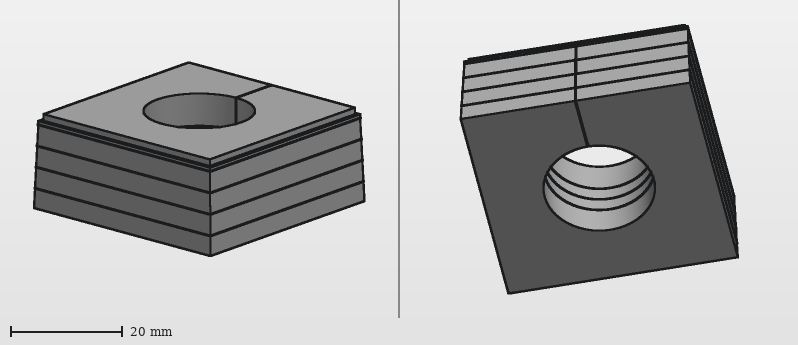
import cadquery as cq
import math

base_width = 42.0
height = 17.7
draft_angle = 2.0
draft_slope = math.tan(math.radians(draft_angle))

plate_bottom = 15.7
plate_top = 16.42
plate_width = base_width - 2 * plate_bottom * draft_slope
pad_width = 39.55

bead_radius = 0.065
outer_bead_count = 4
outer_bead_pitch = 4.0

bore_radius = 10.0
bore_bead_count = 3
bore_bead_pitch = 2.95
highest_bore_bead = 11.55

slit_width = 0.2


def square_block(width, bottom, top):
    base = cq.Workplane("XY", origin=(0, 0, bottom))
    return base.rect(width, width).extrude(top - bottom)


def stepped_body():
    drafted = cq.Workplane("XY").rect(base_width, base_width).extrude(plate_bottom, taper=draft_angle)
    plate = square_block(plate_width, plate_bottom, plate_top)
    pad = square_block(pad_width, plate_top, height)
    return drafted.union(plate).union(pad)


def outer_bead(level):
    """Round cord centred on the outer flanks, so that half of it stands proud."""
    width = base_width - 2 * level * draft_slope
    path = cq.Workplane("XY", origin=(0, 0, level)).rect(width, width)
    cord = cq.Workplane("XZ").center(width / 2, level).circle(bead_radius)
    return cord.sweep(path, transition="right")


def bore_bead(level):
    """Round cord centred on the bore wall, so that half of it stands proud."""
    ring = cq.Solid.makeTorus(bore_radius, bead_radius, cq.Vector(0, 0, level))
    return cq.Workplane("XY").add(ring)


def slit_cutter():
    reach = base_width / 2
    return cq.Workplane("XY").center(0, reach / 2).rect(slit_width, reach).extrude(height)


part = stepped_body()
for index in range(outer_bead_count):
    part = part.union(outer_bead(plate_bottom - index * outer_bead_pitch))

part = part.cut(cq.Workplane("XY").circle(bore_radius).extrude(height))
for index in range(bore_bead_count):
    part = part.union(bore_bead(highest_bore_bead - index * bore_bead_pitch))

result = part.cut(slit_cutter())